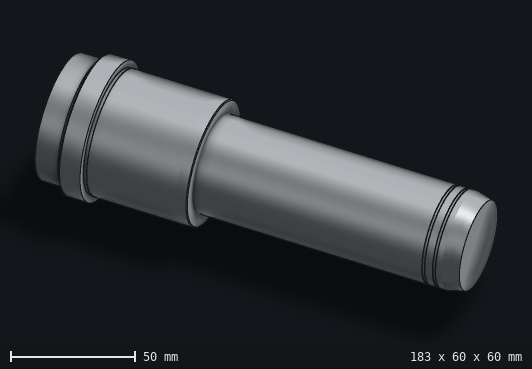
import cadquery as cq
import math

total_length = 183.0
head_radius = 27.0
collar_radius = 30.0
shaft_radius = 21.0

collar_start = 12.0
collar_end = 21.5
collar_chamfer = 0.5
undercut_depth = 0.25
undercut_width = 1.5

face_chamfer = 0.5
head_end = 67.0
lead_length = 5.0
lead_drop = 0.1
head_edge_chamfer = 0.4
shaft_root_round = 0.4

groove_starts = (167.3, 172.0)
groove_width = 1.2
groove_depth = 0.4
cutter_clearance = 1.0
tip_length = 7.0
tip_angle = 15.0


def revolve_about_x(profile):
    """Full turn of a closed XY profile about the X axis."""
    return profile.revolve(360, (0, 0, 0), (1, 0, 0))


def cylinder(start, end, radius):
    """Solid cylinder along X between two stations."""
    return cq.Workplane("YZ").workplane(offset=start).circle(radius).extrude(end - start)


def ring(start, width, outer_radius, depth):
    """Ring-shaped cutter that sinks a groove of the given depth."""
    outer = cylinder(start, start + width, outer_radius + cutter_clearance)
    return outer.cut(cylinder(start, start + width, outer_radius - depth))


def make_head():
    """Turned head with lead-in taper, root fillet and the two undercuts."""
    lead_radius = head_radius - lead_drop
    root_offset = shaft_root_round * (1 - math.sqrt(0.5))
    profile = (
        cq.Workplane("XY")
        .lineTo(0, head_radius - face_chamfer)
        .lineTo(face_chamfer, head_radius)
        .lineTo(head_end - lead_length, head_radius)
        .lineTo(head_end - head_edge_chamfer, lead_radius)
        .lineTo(head_end, lead_radius - head_edge_chamfer)
        .lineTo(head_end, shaft_radius + shaft_root_round)
        .threePointArc(
            (head_end + root_offset, shaft_radius + root_offset),
            (head_end + shaft_root_round, shaft_radius),
        )
        .lineTo(head_end + shaft_root_round, 0)
        .close()
    )
    head = revolve_about_x(profile)
    for start in (collar_start - undercut_width, collar_end):
        head = head.cut(ring(start, undercut_width, head_radius, undercut_depth))
    return head


def make_collar():
    """Collar with a chamfer on its end-face side."""
    return cylinder(collar_start, collar_end, collar_radius).faces("<X").chamfer(collar_chamfer)


def make_shaft():
    """Shaft through the head, with a conical tip and ring grooves."""
    tip_radius = shaft_radius - tip_length * math.tan(math.radians(tip_angle))
    points = [
        (0, 0),
        (0, shaft_radius),
        (total_length - tip_length, shaft_radius),
        (total_length, tip_radius),
        (total_length, 0),
    ]
    shaft = revolve_about_x(cq.Workplane("XY").polyline(points).close())
    for start in groove_starts:
        shaft = shaft.cut(ring(start, groove_width, shaft_radius, groove_depth))
    return shaft


result = make_head().union(make_collar()).union(make_shaft())